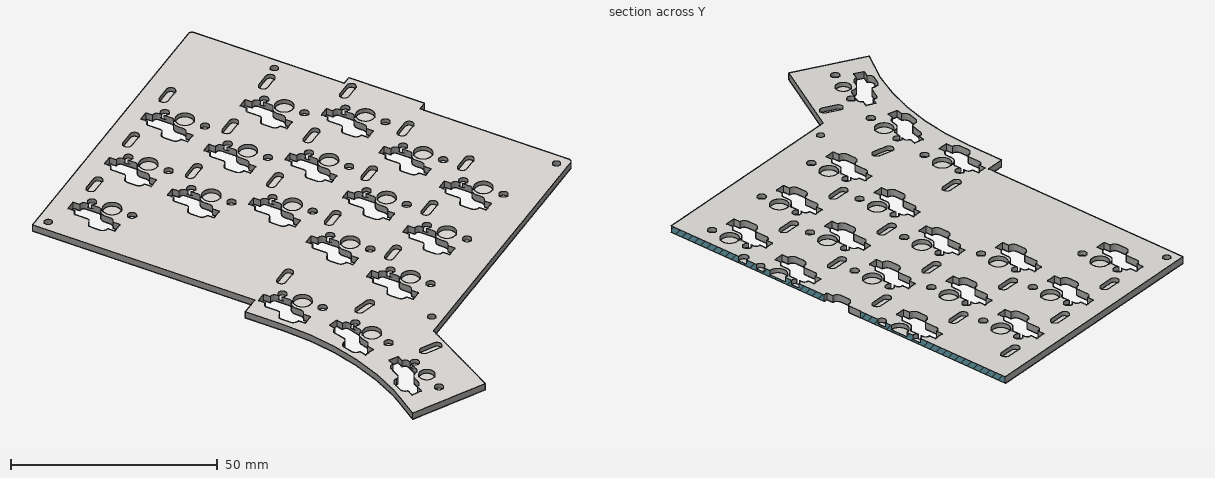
import cadquery as cq
import math

thickness = 2.0
plate_width = 104.5
plate_height = 82.3
corner_radius = 1.0

tab_left = 42.1
tab_width = 20.7
tab_rise = 2.4

wing_left = 60.8
wing_drop = 5.0
wing_tilt = 30
wing_bend_start = 71.4
wing_bend_radius = 69.9
wing_top_y = 9.9
wing_end_width = 20.8
wing_right = 124.8

key_pitch = 19.0
first_column_x = 14.2
column_top_y = [52.3, 67.9, 74.0, 67.9, 63.2]
keys_per_column = 3
stem_diameter = 4.7
end_stem_diameter = 4.0
thumb_keys = [
    (first_column_x + 3 * key_pitch, 5.1, 0, stem_diameter),
    (91.6, 2.2, -15, stem_diameter),
    (110.7, -5.5, -30, end_stem_diameter),
]

recess_depth = 1.2
pin_diameter = 2.2
pin_offset = 5.5
slot_width = 2.4
slot_length = 6.0
slot_x = -8.0
slot_y = 6.1

left_tab_end = -9.5
left_tab_top = -2.2
left_tab_bottom = -4.9
left_body_end = -7.6
left_body_top = -1.05
left_body_bottom = -6.1
right_body_start = -2.6
right_body_end = 2.6
right_body_top = -3.2
right_body_bottom = -8.5
right_tab_end = 4.5
right_tab_top = -4.4
right_tab_bottom = -7.1
left_corner_radius = 1.0
right_corner_radius = 1.5
neck_radius = 1.0
shoulder_radius = 1.0
hollow_diameter = 3.9
hollow_x = -0.2

screw_diameter = 2.0
screw_points = [(2.9, 2.7), (24.5, 79.4), (101.6, 79.4), (101.6, 14.4)]


def point_on_circle(center, radius, degrees):
    angle = math.radians(degrees)
    return (center[0] + radius * math.cos(angle), center[1] + radius * math.sin(angle))


def add_arc(outline, center, radius, start, end):
    """Continue the outline, which already stands at `start` degrees, along an arc to `end` degrees."""
    middle = point_on_circle(center, radius, (start + end) / 2)
    return outline.threePointArc(middle, point_on_circle(center, radius, end))


def add_corner(outline, center, radius, start, end):
    """Draw a straight edge to a rounded corner, then the corner."""
    outline = outline.lineTo(*point_on_circle(center, radius, start))
    return add_arc(outline, center, radius, start, end)


def plate():
    """Main plate with the tab on top, the thumb wing and two rounded top corners."""
    tilt = math.radians(wing_tilt)
    wing_top_right = (wing_right, wing_top_y - (wing_right - plate_width) * math.tan(tilt))
    wing_low_right = (
        wing_right - wing_end_width * math.sin(tilt),
        wing_top_right[1] - wing_end_width * math.cos(tilt),
    )
    bend_center = (wing_bend_start, -wing_drop - wing_bend_radius)
    tab_right = tab_left + tab_width
    tab_top = plate_height + tab_rise

    outline = (
        cq.Workplane("XY")
        .moveTo(0, 0)
        .lineTo(wing_left, 0)
        .lineTo(wing_left, -wing_drop)
        .lineTo(wing_bend_start, -wing_drop)
    )
    outline = add_arc(outline, bend_center, wing_bend_radius, 90, 90 - wing_tilt)
    outline = (
        outline.lineTo(*wing_low_right)
        .lineTo(*wing_top_right)
        .lineTo(plate_width, wing_top_y)
    )
    right_corner = (plate_width - corner_radius, plate_height - corner_radius)
    outline = add_corner(outline, right_corner, corner_radius, 0, 90)
    outline = (
        outline.lineTo(tab_right, plate_height)
        .lineTo(tab_right, tab_top)
        .lineTo(tab_left, tab_top)
        .lineTo(tab_left, plate_height)
    )
    left_corner = (corner_radius, plate_height - corner_radius)
    outline = add_corner(outline, left_corner, corner_radius, 90, 180)
    return outline.close().extrude(thickness)


def tab_opening(x_min, x_max, y_min, y_max):
    return (
        cq.Workplane("XY")
        .moveTo((x_min + x_max) / 2, (y_min + y_max) / 2)
        .rect(x_max - x_min, y_max - y_min)
        .extrude(thickness)
    )


def socket_opening():
    """Two overlapping rounded bodies, each with a contact tab at its outer end."""
    hollow_radius = hollow_diameter / 2
    hollow = (hollow_x, right_body_top + hollow_radius)
    shoulder_y = left_body_top - shoulder_radius
    shoulder_run = math.sqrt((shoulder_radius + hollow_radius) ** 2 - (hollow[1] - shoulder_y) ** 2)
    shoulder = (hollow_x - shoulder_run, shoulder_y)
    blend = math.degrees(math.atan2(hollow[1] - shoulder_y, shoulder_run))

    left_x = left_body_end + left_corner_radius
    left_high = (left_x, left_body_top - left_corner_radius)
    left_low = (left_x, left_body_bottom + left_corner_radius)
    right_x = right_body_end - right_corner_radius
    right_high = (right_x, right_body_top - right_corner_radius)
    right_low_y = right_body_bottom + right_corner_radius
    right_low_x = right_body_start + right_corner_radius
    neck = (right_body_start - neck_radius, left_body_bottom - neck_radius)

    outline = cq.Workplane("XY").moveTo(left_body_end, left_high[1])
    outline = add_arc(outline, left_high, left_corner_radius, 180, 90)
    outline = add_corner(outline, shoulder, shoulder_radius, 90, blend)
    outline = add_arc(outline, hollow, hollow_radius, 180 + blend, 270)
    outline = add_corner(outline, right_high, right_corner_radius, 90, 0)
    outline = add_corner(outline, (right_x, right_low_y), right_corner_radius, 0, -90)
    outline = add_corner(outline, (right_low_x, right_low_y), right_corner_radius, 270, 180)
    outline = add_corner(outline, neck, neck_radius, 0, 90)
    outline = add_corner(outline, left_low, left_corner_radius, 270, 180)
    bodies = outline.close().extrude(thickness)

    left_tab = tab_opening(left_tab_end, left_x, left_tab_bottom, left_tab_top)
    right_tab = tab_opening(right_x, right_tab_end, right_tab_bottom, right_tab_top)
    return bodies.union(left_tab).union(right_tab)


def key_cuts(stem):
    """Everything cut for one switch: stem and pin recesses, the slot and the socket opening."""
    floor = cq.Workplane("XY").workplane(offset=thickness - recess_depth)
    pin_points = [(-pin_offset, 0), (pin_offset, 0)]
    stem_recess = floor.circle(stem / 2).extrude(recess_depth)
    pin_recesses = floor.pushPoints(pin_points).circle(pin_diameter / 2).extrude(recess_depth)
    slot = floor.center(slot_x, slot_y).slot2D(slot_length, slot_width, 90).extrude(recess_depth)
    return stem_recess.union(pin_recesses).union(slot).union(socket_opening())


def screw_holes():
    return cq.Workplane("XY").pushPoints(screw_points).circle(screw_diameter / 2).extrude(thickness)


column_keys = [
    (first_column_x + column * key_pitch, top_y - row * key_pitch, 0, stem_diameter)
    for column, top_y in enumerate(column_top_y)
    for row in range(keys_per_column)
]

result = plate().cut(screw_holes())
for x, y, tilt, stem in column_keys + thumb_keys:
    cuts = key_cuts(stem).rotate((0, 0, 0), (0, 0, 1), tilt).translate((x, y, 0))
    result = result.cut(cuts)